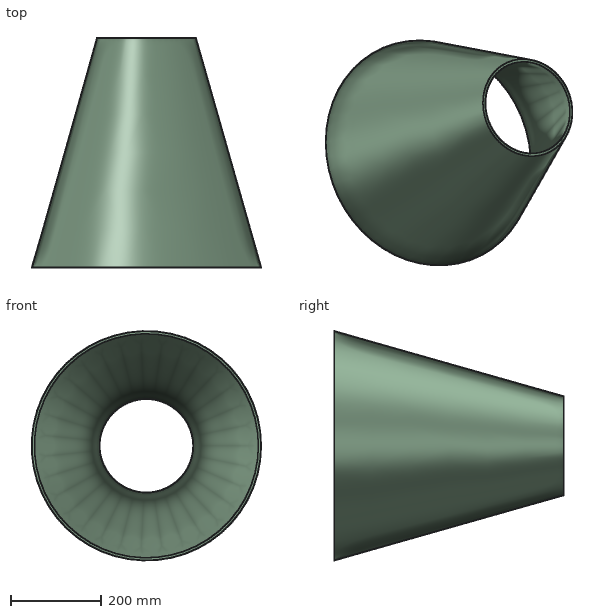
import cadquery as cq
import math

length = 508.0
large_diameter = 508.0
small_diameter = 219.1
wall = 6.0

large_radius = large_diameter / 2
small_radius = small_diameter / 2
half_angle = math.atan((large_radius - small_radius) / length)
radial_wall = wall / math.cos(half_angle)


def reducer_shell():
    """Revolve the straight tapered wall section around the Y axis."""
    section = [
        (large_radius - radial_wall, 0),
        (large_radius, 0),
        (small_radius, length),
        (small_radius - radial_wall, length),
    ]
    return cq.Workplane("XY").polyline(section).close().revolve(360, (0, 0, 0), (0, 1, 0))


result = reducer_shell()